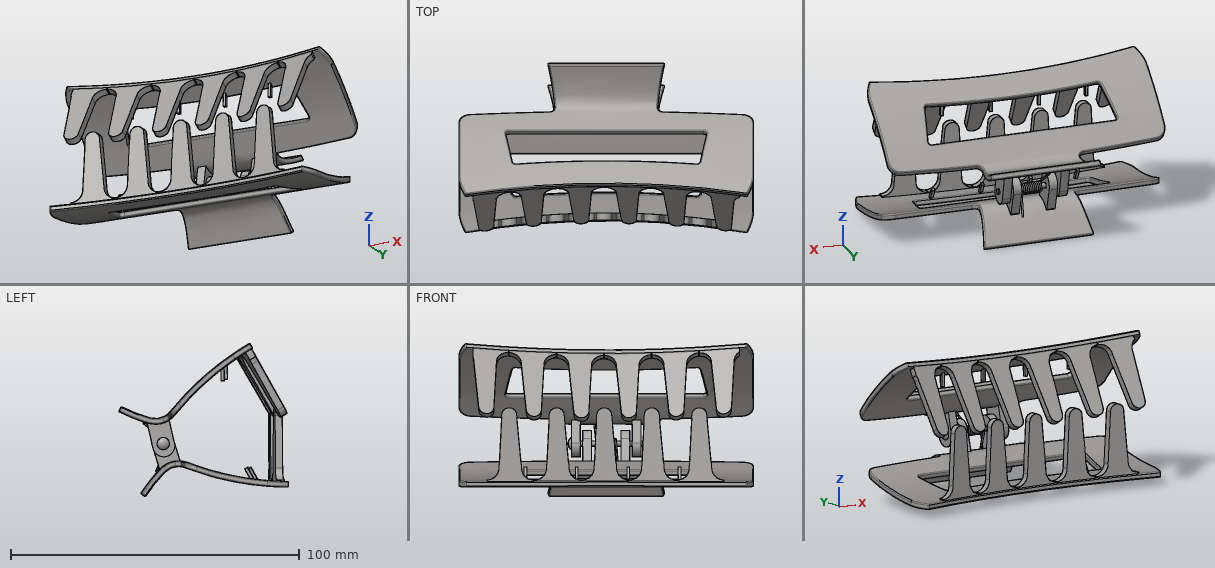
import cadquery as cq
import math


pin_diameter = 1.92
pin_head_diameter = 4.3
pin_head_height = 1.2
pin_end_overhang = 0.5

lug_thickness = 3.1
lug_clearance = 0.8
lower_lug_inner_x = 5.05
upper_lug_inner_x = lower_lug_inner_x + lug_thickness + lug_clearance
pin_reach = upper_lug_inner_x + lug_thickness
lug_width = 7.7
lug_lean = 17.0
lug_tip_overshoot = 0.75
lug_depth = 8.0

opening_angle = 30.0

plate_thickness = 2.0
apex_y = -5.3
apex_z = -6.95
bend_radius = 7.6
front_radius = 100.0
handle_radius = 60.0
front_slope_start = 21.0
front_slope_end = -1.0
front_intervals = 5
handle_slope_start = -46.0
handle_slope_end = -56.5

half_length = 102.09 / 2
back_centre_y = -6.0
back_end_y = -7.8
back_corner_radius = 4.2
side_straight_end_y = -33.0
side_mid_x = half_length - 0.8
side_mid_y = -40.0
front_corner_x = 48.7
front_corner_y = -43.4
front_centre_y = -39.3
neck_half_width = 17.8
neck_fillet = 2.0
handle_tip_half_width = 20.5
handle_tip_y = 8.0
edge_round = 0.4

front_sag = front_centre_y - front_corner_y
front_edge_radius = (front_corner_x**2 + front_sag**2) / (2 * front_sag)

window_back_y = -16.0
window_back_half_width = 35.0
window_front_y = -29.8
window_front_half_width = 32.3
window_front_sag = 1.5
window_corner_radius = 1.2
window_tilt = 12.0
window_pivot_z = -10.5

tooth_pitch = 16.45
tooth_thickness = 2.5
tooth_root_z = -12.6
tooth_tip_z = 12.4
tooth_root_width = 7.8
tooth_tip_width = 5.2
tooth_root_flare = 4.2
tooth_row_half_length = 46.2
lower_tooth_count = 5
lower_tooth_setback = 0.3
lower_tooth_root_x = -0.3
lower_tooth_tip_x = -0.7
upper_tooth_count = 6
upper_tooth_setback = 0.05
upper_tooth_root_x = -0.8
upper_tooth_tip_x = -0.4

peg_count = 4
peg_pitch = 17.8
peg_centre_x = -1.3
peg_width = 1.0
peg_depth = 1.2
peg_setback = 8.1
peg_root_z = -13.2
peg_height = 5.4
peg_lean = 29.0

wire_diameter = 0.6
coil_inner_diameter = 2.4
coil_radius = (coil_inner_diameter + wire_diameter) / 2
coil_half_length = 3.4
whole_turns = 10
leg_length = 9.85
leg_lean = 22.5

tall = 100.0


def normal(slope):
    """Unit normal of the section where it slopes down to the front by `slope` degrees."""
    a = math.radians(slope)
    return -math.sin(a), math.cos(a)


def along(point, slope, distance):
    """Point moved along the section normal."""
    ny, nz = normal(slope)
    return point[0] + distance * ny, point[1] + distance * nz


bend_centre = (apex_y, apex_z - bend_radius)
front_centre = along(bend_centre, front_slope_start, bend_radius + front_radius)
handle_centre = along(bend_centre, handle_slope_start, bend_radius - handle_radius)


def section_points(offset):
    """Points from the handle tip to the front edge, `offset` above the mid surface."""
    handle_mid = (handle_slope_start + handle_slope_end) / 2
    handle_slopes = (handle_slope_end, handle_mid, handle_slope_start)
    bend_slopes = (handle_slope_start / 2, 0, front_slope_start / 2)
    front_step = (front_slope_end - front_slope_start) / front_intervals
    front_slopes = [front_slope_start + i * front_step for i in range(front_intervals + 1)]
    points = [along(handle_centre, s, handle_radius + offset) for s in handle_slopes]
    points += [along(bend_centre, s, bend_radius + offset) for s in bend_slopes]
    points += [along(front_centre, s, offset - front_radius) for s in front_slopes]
    return points


def plate_section():
    """Constant section of the plate and handle, extruded along the hinge axis."""
    top = section_points(plate_thickness / 2)
    bottom = section_points(-plate_thickness / 2)[::-1]
    return (
        cq.Workplane("YZ")
        .workplane(offset=-half_length)
        .spline(top)
        .lineTo(*bottom[0])
        .spline(bottom[1:], includeCurrent=True)
        .close()
        .extrude(2 * half_length)
    )


def plate_outline():
    """Prism with the outline of plate and flared handle, rounded where they join."""
    body = (
        cq.Workplane("XY")
        .moveTo(-half_length, back_end_y)
        .threePointArc((0, back_centre_y), (half_length, back_end_y))
        .lineTo(half_length, side_straight_end_y)
        .threePointArc((side_mid_x, side_mid_y), (front_corner_x, front_corner_y))
        .threePointArc((0, front_centre_y), (-front_corner_x, front_corner_y))
        .threePointArc((-side_mid_x, side_mid_y), (-half_length, side_straight_end_y))
        .close()
        .extrude(tall, both=True)
        .edges("|Z")
        .edges(">Y")
        .fillet(back_corner_radius)
    )
    flare = handle_tip_half_width - neck_half_width
    neck_y = back_centre_y + neck_fillet
    mid_y = (neck_y + handle_tip_y) / 2
    mid_x = neck_half_width + flare / 3
    handle = (
        cq.Workplane("XY")
        .moveTo(-neck_half_width, back_centre_y - back_corner_radius)
        .lineTo(-neck_half_width, neck_y)
        .threePointArc((-mid_x, mid_y), (-handle_tip_half_width, handle_tip_y))
        .lineTo(handle_tip_half_width, handle_tip_y)
        .threePointArc((mid_x, mid_y), (neck_half_width, neck_y))
        .lineTo(neck_half_width, back_centre_y - back_corner_radius)
        .close()
        .extrude(tall, both=True)
    )
    corners = cq.selectors.BoxSelector(
        (-neck_half_width - 1, back_end_y, -tall - 1), (neck_half_width + 1, neck_y - 1, tall + 1)
    )
    return body.union(handle).edges("|Z").edges(corners).fillet(neck_fillet)


def window():
    """Cutter for the trapezoidal opening."""
    pivot_y = (window_back_y + window_front_y) / 2
    return (
        cq.Workplane("XY")
        .moveTo(-window_back_half_width, window_back_y)
        .lineTo(window_back_half_width, window_back_y)
        .lineTo(window_front_half_width, window_front_y - window_front_sag)
        .threePointArc((0, window_front_y), (-window_front_half_width, window_front_y - window_front_sag))
        .close()
        .extrude(tall, both=True)
        .edges("|Z")
        .fillet(window_corner_radius)
        .rotate((0, pivot_y, window_pivot_z), (1, pivot_y, window_pivot_z), window_tilt)
    )


def plate():
    blank = plate_section().intersect(plate_outline())
    return blank.cut(window()).edges().fillet(edge_round)


def tooth(root_x, tip_x):
    """One tapered tooth with a round tip and flared root, extruded over the depth of the row."""
    tip_radius = tooth_tip_width / 2
    tip_base_z = tooth_tip_z - tip_radius
    half_root = tooth_root_width / 2
    flare_z = tooth_root_z + tooth_root_flare
    bulge = tooth_root_flare * (1 - math.sqrt(0.5))
    buried_z = tooth_root_z - plate_thickness / 2
    foot = half_root + tooth_root_flare
    return (
        cq.Workplane("XZ")
        .moveTo(root_x - foot, buried_z)
        .lineTo(root_x - foot, tooth_root_z)
        .threePointArc((root_x - half_root - bulge, tooth_root_z + bulge), (root_x - half_root, flare_z))
        .lineTo(tip_x - tip_radius, tip_base_z)
        .threePointArc((tip_x, tooth_tip_z), (tip_x + tip_radius, tip_base_z))
        .lineTo(root_x + half_root, flare_z)
        .threePointArc((root_x + half_root + bulge, tooth_root_z + bulge), (root_x + foot, tooth_root_z))
        .lineTo(root_x + foot, buried_z)
        .close()
        .extrude(tall)
    )


def tooth_row(count, root_offset, tip_offset, setback):
    """Teeth following the concave front edge of the plate."""
    arc_centre_y = front_centre_y - front_edge_radius
    inner_radius = front_edge_radius + setback
    wall = (
        cq.Workplane("XY")
        .center(0, arc_centre_y)
        .circle(inner_radius + tooth_thickness)
        .circle(inner_radius)
        .extrude(tall, both=True)
        .intersect(cq.Workplane("XY").box(2 * tooth_row_half_length, tall, 2 * tall))
    )
    teeth = None
    for i in range(count):
        x = (i - (count - 1) / 2) * tooth_pitch
        one = tooth(x + root_offset, x + tip_offset).intersect(wall)
        teeth = one if teeth is None else teeth.union(one)
    return teeth


def pegs():
    row = cq.Workplane("XY")
    for i in range(peg_count):
        x = peg_centre_x + (i - (peg_count - 1) / 2) * peg_pitch
        y = front_centre_y + peg_setback - x**2 / (2 * front_edge_radius)
        peg = (
            cq.Workplane("XY")
            .box(peg_width, peg_depth, peg_height, centered=(True, True, False))
            .rotate((0, 0, 0), (1, 0, 0), -peg_lean)
            .translate((x, y, peg_root_z))
        )
        row = row.add(peg)
    return row


def lug(inner_x):
    """Hinge lug on the +X side, its inner face at `inner_x`."""
    radius = lug_width / 2
    return (
        cq.Workplane("YZ")
        .moveTo(-radius, -lug_depth)
        .lineTo(-radius, lug_tip_overshoot)
        .threePointArc((0, lug_tip_overshoot + radius), (radius, lug_tip_overshoot))
        .lineTo(radius, -lug_depth)
        .close()
        .extrude(lug_thickness)
        .rotate((0, 0, 0), (1, 0, 0), -lug_lean)
        .translate((inner_x, 0, 0))
    )


def pin_hole():
    return cq.Workplane("YZ").circle(pin_diameter / 2).extrude(tall, both=True)


def jaw(lug_inner_x, teeth):
    right_lug = lug(lug_inner_x)
    body = plate()
    body = body.union(right_lug).union(right_lug.mirror("YZ"))
    body = body.union(teeth)
    for peg in pegs().vals():
        body = body.union(cq.Workplane(peg))
    return body.cut(pin_hole())


def hinge_pin():
    shaft = (
        cq.Workplane("YZ")
        .workplane(offset=-pin_reach)
        .circle(pin_diameter / 2)
        .extrude(2 * pin_reach + pin_end_overhang)
    )
    head_radius = pin_head_diameter / 2
    dome_radius = (head_radius**2 + pin_head_height**2) / (2 * pin_head_height)
    ball = cq.Workplane("XY").sphere(dome_radius).translate((-pin_reach - pin_head_height + dome_radius, 0, 0))
    cap = (
        cq.Workplane("YZ")
        .workplane(offset=-pin_reach)
        .circle(pin_head_diameter)
        .extrude(-2 * pin_head_height)
    )
    return shaft.union(ball.intersect(cap))


def spring():
    """Torsion coil around the pin, with straight tangent legs that press the handles apart."""
    lower_leg_angle = 180 + leg_lean
    upper_leg_angle = -lower_leg_angle - opening_angle + 360
    turns = whole_turns + (lower_leg_angle - upper_leg_angle) / 360
    length = 2 * coil_half_length
    pitch = length / turns
    end_angle = 2 * math.pi * turns

    def tangent(angle):
        rise = pitch / (2 * math.pi)
        return cq.Vector(-coil_radius * math.sin(angle), coil_radius * math.cos(angle), rise).normalized()

    coil_start = cq.Vector(coil_radius, 0, 0)
    coil_end = cq.Vector(coil_radius * math.cos(end_angle), coil_radius * math.sin(end_angle), length)
    upper_tip = coil_start - tangent(0) * leg_length
    lower_tip = coil_end + tangent(end_angle) * leg_length
    helix = cq.Wire.makeHelix(pitch, length, coil_radius)
    path = cq.Wire.assembleEdges(
        [cq.Edge.makeLine(upper_tip, coil_start), *helix.Edges(), cq.Edge.makeLine(coil_end, lower_tip)]
    )
    wire_plane = cq.Plane(origin=upper_tip.toTuple(), normal=tangent(0).toTuple())
    wire = cq.Workplane(wire_plane).circle(wire_diameter / 2).sweep(path, isFrenet=True)
    return (
        wire.translate((0, 0, -coil_half_length))
        .rotate((0, 0, 0), (1, 1, 1), 120)
        .rotate((0, 0, 0), (1, 0, 0), upper_leg_angle)
    )


lower_teeth = tooth_row(lower_tooth_count, lower_tooth_root_x, lower_tooth_tip_x, lower_tooth_setback)
upper_teeth = tooth_row(upper_tooth_count, upper_tooth_root_x, upper_tooth_tip_x, upper_tooth_setback)
lower_jaw = jaw(lower_lug_inner_x, lower_teeth)
upper_jaw = (
    jaw(upper_lug_inner_x, upper_teeth)
    .mirror("XY")
    .rotate((0, 0, 0), (1, 0, 0), -opening_angle)
)
pin = hinge_pin()
coil_spring = spring()
result = cq.Compound.makeCompound([lower_jaw.val(), upper_jaw.val(), pin.val(), coil_spring.val()])